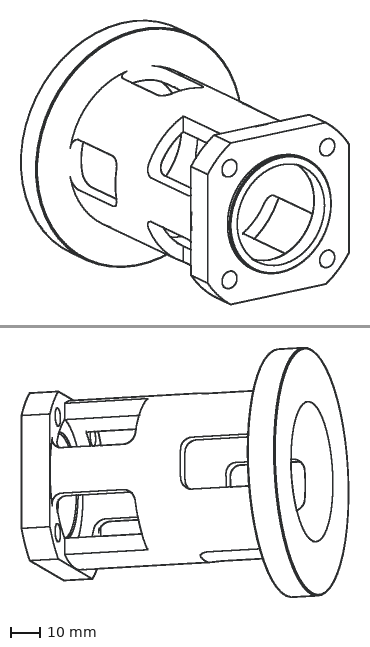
import cadquery as cq

length = 96.5

flange_diameter = 85.0
flange_thickness = 9.9
flange_chamfer = 0.4

tube_diameter = 58.0
bore_diameter = 48.0

plate_width = 58.3
plate_corner_diameter = 70.3
plate_thickness = 10.2
spigot_diameter = 42.0
spigot_height = 1.5
spigot_chamfer = 0.4
end_bore_diameter = 36.0
end_bore_chamfer = 0.5
plate_end = length - spigot_height
plate_start = plate_end - plate_thickness
end_wall_thickness = 6.9
shoulder = length - end_wall_thickness

mount_hole_diameter = 6.2
mount_circle_diameter = 56.9
mount_hole_count = 4

flange_window_end = 38.1
flange_window_width = 18.0
window_radius = 3.9

plate_window_start = 55.0
plate_window_y = 12.3
plate_window_z = 7.9


def disc(diameter, start, end):
    """Solid cylinder about the X axis between two stations."""
    return cq.Workplane("YZ", origin=(start, 0, 0)).circle(diameter / 2).extrude(end - start)


def end_plate():
    square = cq.Workplane("YZ", origin=(plate_start, 0, 0)).rect(plate_width, plate_width)
    return square.extrude(plate_thickness).intersect(disc(plate_corner_diameter, plate_start, plate_end))


def flange_window():
    """Rounded slot along Z that passes through both tube walls."""
    slot_length = flange_window_end - flange_thickness
    slot_center = (flange_window_end + flange_thickness) / 2
    slot = cq.Workplane("XY").box(slot_length, flange_window_width, tube_diameter)
    return slot.edges("|Z").fillet(window_radius).translate((slot_center, 0, 0))


def plate_window():
    """Cutter for the +Y +Z quadrant, rounded where it meets its lower wall."""
    block = cq.Workplane("XY").box(
        plate_start - plate_window_start,
        tube_diameter / 2 - plate_window_y,
        tube_diameter / 2 - plate_window_z,
        centered=False,
    )
    block = block.edges("|Y and <Z").fillet(window_radius)
    return block.translate((plate_window_start, plate_window_y, plate_window_z))


flange = disc(flange_diameter, 0, flange_thickness).edges().chamfer(flange_chamfer)
spigot = disc(spigot_diameter, plate_start, length).faces(">X").edges().chamfer(spigot_chamfer)
body = flange.union(disc(tube_diameter, flange_chamfer, plate_start)).union(end_plate()).union(spigot)

body = body.cut(disc(bore_diameter, 0, shoulder))
end_bore = disc(end_bore_diameter, shoulder, length)
lead_in = cq.Workplane("YZ", origin=(shoulder, 0, 0)).circle(end_bore_diameter / 2 + end_bore_chamfer)
lead_in = lead_in.extrude(end_bore_chamfer, taper=45)
body = body.cut(end_bore).cut(lead_in)

for angle in (0, 90):
    body = body.cut(flange_window().rotate((0, 0, 0), (1, 0, 0), angle))
quadrant = plate_window()
pair = quadrant.union(quadrant.mirror("XZ"))
body = body.cut(pair).cut(pair.mirror("XY"))

mount_holes = (
    cq.Workplane("YZ", origin=(plate_start, 0, 0))
    .polarArray(mount_circle_diameter / 2, 45, 360, mount_hole_count)
    .circle(mount_hole_diameter / 2)
    .extrude(plate_thickness)
)
result = body.cut(mount_holes)